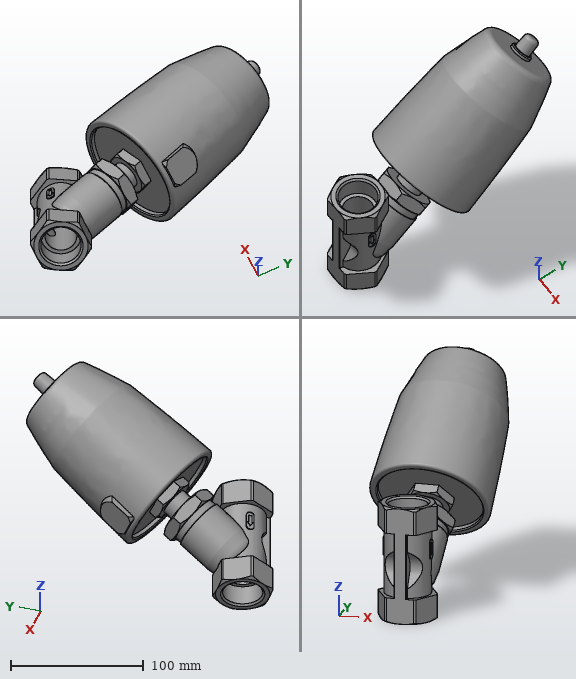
import cadquery as cq
import math

pipe_height = 90.4
pipe_diameter = 36
hex_flats = 41.0
hex_height = 19.9
hex_corner_diameter = 46.2
bevel_angle = math.radians(30)
bore_diameter = 24.0
thread_diameter = 30.3
thread_depth = 17
thread_bevel = 1.5

web_thickness = 9.7
web_bevel = 0.5
web_front = hex_flats / 2
pocket_tip_radius = 11.7
pocket_tip_y = -10.5
pocket_centre_z = 43.0
pocket_upper_angle = math.radians(38)
pocket_lower_angle = math.radians(29)
pocket_wall = 1.9

pad_width = 6.0
pad_height = 15.5
pad_centre_z = 55
pad_rise = 0.8
arrow_shaft_width = 2.5
arrow_top = 4.7
arrow_shoulder = -1.3
arrow_tip = -4.5
arrow_head_width = 4.5
arrow_depth = 0.4

branch_angle = math.radians(40)
branch_origin_z = 27.3

branch_top = 45.1
branch_diameter = 41.0
branch_waist = 17
dome_start = 9.9
dome_radius = 19.5
dome_round = 9.5
collar_diameter = 39.0

nut_bottom = 50.6
nut_top = 61.0
nut_flats = 41.0
stem_diameter = 22.0
small_nut_bottom = 71.3
small_nut_flats = 32.0

housing_bottom = 75.0
housing_diameter = 93.8
housing_radius = housing_diameter / 2
rim_round = 1.9
shoulder_height = 155.8
shoulder_radius = 42.6
side_bulge = 0.47
shoulder_round = 5.7
housing_top = 196.0
top_radius = 31.0
top_round = 5.1
recess_diameter = 81.7
recess_depth = 4.0
recess_bevel = 1.0

flange_diameter = 18.2
flange_height = 3.0
flange_bevel = 1.0
pin_base_radius = 7.0
pin_top_radius = 6.3
pin_top = 211.9
pin_round = 3.0

port_face = 48.9
port_centre = 90.8
port_radius = 14.2
port_end = 78.5
port_half_width = 11.7
port_draft = math.radians(31)
port_depth = 9.5

inclined = cq.Plane(
    origin=(0, 0, branch_origin_z),
    xDir=(1, 0, 0),
    normal=(0, math.cos(branch_angle), math.sin(branch_angle)),
)


def on_inclined_axis(solid):
    return cq.Workplane(solid.val().moved(cq.Location(inclined)))


def turn(half_outline):
    """Turn a half outline, drawn beside the local Z axis, into a solid of revolution."""
    return half_outline.close().revolve(360, (0, 0, 0), (0, 1, 0))


def cylinder(diameter, bottom, top):
    return cq.Workplane("XY").workplane(offset=bottom).circle(diameter / 2).extrude(top - bottom)


def bevelled_hex(flats, bottom, top, corner_diameter, bevel_bottom, bevel_top):
    """Hexagon with corners on X, turned to corner_diameter and bevelled down to its flats."""
    flat_radius = flats / 2
    corner_radius = corner_diameter / 2
    bevel = (corner_radius - flat_radius) * math.tan(bevel_angle)
    prism = (
        cq.Workplane("XY").workplane(offset=bottom)
        .polygon(6, flats / math.cos(math.pi / 6)).extrude(top - bottom)
    )
    outline = cq.Workplane("XZ").moveTo(0, bottom)
    if bevel_bottom:
        outline = outline.lineTo(flat_radius, bottom).lineTo(corner_radius, bottom + bevel)
    else:
        outline = outline.lineTo(corner_radius, bottom)
    if bevel_top:
        outline = outline.lineTo(corner_radius, top - bevel).lineTo(flat_radius, top)
    else:
        outline = outline.lineTo(corner_radius, top)
    return prism.intersect(turn(outline.lineTo(0, top)))


def pocket(offset):
    """Rounded V running along X, its surface moved into the pipe by offset."""
    radius = pocket_tip_radius + offset
    centre_y = pocket_tip_y - pocket_tip_radius
    mouth_y = centre_y - pocket_tip_radius

    def tangent_and_mouth(angle, side):
        tangent_y = centre_y + radius * math.cos(angle)
        tangent_z = pocket_centre_z + side * radius * math.sin(angle)
        mouth_z = tangent_z + side * (tangent_y - mouth_y) / math.tan(angle)
        return (tangent_y, tangent_z), (mouth_y, mouth_z)

    upper_tangent, upper_mouth = tangent_and_mouth(pocket_upper_angle, 1)
    lower_tangent, lower_mouth = tangent_and_mouth(pocket_lower_angle, -1)
    return (
        cq.Workplane("YZ")
        .moveTo(*upper_mouth).lineTo(*upper_tangent)
        .threePointArc((centre_y + radius, pocket_centre_z), lower_tangent)
        .lineTo(*lower_mouth).close()
        .extrude(pipe_diameter / 2, both=True)
    )


def thread_end():
    """Threaded counterbore with a bevelled mouth, opening downward at Z = 0."""
    radius = thread_diameter / 2
    return turn(
        cq.Workplane("XZ").lineTo(radius + thread_bevel, 0).lineTo(radius, thread_bevel)
        .lineTo(radius, thread_depth).lineTo(0, thread_depth)
    )


def flow_pad(side):
    """Raised oval with a sunken downward arrow; side is +1 or -1 along X."""
    face = side * (pipe_diameter / 2 + pad_rise)
    plane = cq.Workplane("YZ", origin=(face, 0, pad_centre_z))
    inward = -side * pipe_diameter / 4
    oval = plane.slot2D(pad_height, pad_width, 90).extrude(inward)
    arrow = (
        plane.moveTo(-arrow_shaft_width / 2, arrow_top).lineTo(arrow_shaft_width / 2, arrow_top)
        .lineTo(arrow_shaft_width / 2, arrow_shoulder).lineTo(arrow_head_width / 2, arrow_shoulder)
        .lineTo(0, arrow_tip).lineTo(-arrow_head_width / 2, arrow_shoulder)
        .lineTo(-arrow_shaft_width / 2, arrow_shoulder).close()
        .extrude(-side * arrow_depth)
    )
    return oval.cut(arrow)


def branch():
    return turn(
        cq.Workplane("XZ").moveTo(0, branch_top).lineTo(branch_diameter / 2, branch_top)
        .lineTo(branch_diameter / 2, branch_waist).lineTo(dome_radius, dome_start)
        .radiusArc((dome_radius - dome_round, dome_start - dome_round), dome_round)
        .lineTo(0, dome_start - dome_round)
    )


def pipe_body():
    corner = hex_corner_diameter
    body = cylinder(pipe_diameter, 0, pipe_height).cut(pocket(0))
    web = cq.Workplane("XY").box(
        web_thickness, web_front, pipe_height - 2 * hex_height, centered=(True, False, False)
    ).translate((0, -web_front, hex_height))
    web = web.edges("|Z and <Y").chamfer(web_bevel)
    body = body.union(web)
    body = body.union(bevelled_hex(hex_flats, 0, hex_height, corner, True, False))
    body = body.union(
        bevelled_hex(hex_flats, pipe_height - hex_height, pipe_height, corner, False, True)
    )
    for side in (-1, 1):
        body = body.union(flow_pad(side))
    return body.union(on_inclined_axis(branch()))


def pipe_passage():
    """Through bore, narrowed by the pocket's wall, with a threaded counterbore at each end."""
    passage = cylinder(bore_diameter, 0, pipe_height).cut(pocket(pocket_wall))
    upper_thread = thread_end().mirror("XY").translate((0, 0, pipe_height))
    return passage.union(thread_end()).union(upper_thread)


def nuts_and_stem():
    corner = nut_flats / math.cos(math.pi / 6)
    small_corner = small_nut_flats / math.cos(math.pi / 6)
    nut = bevelled_hex(nut_flats, nut_bottom, nut_top, corner, True, True)
    small_nut = bevelled_hex(
        small_nut_flats, small_nut_bottom, housing_bottom + recess_depth, small_corner, True, False
    )
    collar = cylinder(collar_diameter, branch_top, nut_bottom)
    stem = cylinder(stem_diameter, nut_top, small_nut_bottom)
    return collar.union(nut).union(stem).union(small_nut)


def housing():
    shell = turn(
        cq.Workplane("XZ").moveTo(0, housing_bottom)
        .lineTo(housing_radius - rim_round, housing_bottom)
        .radiusArc((housing_radius, housing_bottom + rim_round), -rim_round)
        .sagittaArc((shoulder_radius, shoulder_height), -side_bulge)
        .sagittaArc((top_radius, housing_top), -side_bulge).lineTo(0, housing_top)
    )
    shell = shell.faces(">Z").edges().fillet(top_round)
    shoulder = cq.selectors.NearestToPointSelector((0, 0, shoulder_height))
    shell = shell.edges(shoulder).fillet(shoulder_round)
    recess = cylinder(recess_diameter, housing_bottom, housing_bottom + recess_depth)
    mouth = cq.Workplane(cq.Solid.makeCone(
        recess_diameter / 2 + recess_bevel, recess_diameter / 2, recess_bevel,
        cq.Vector(0, 0, housing_bottom), cq.Vector(0, 0, 1)
    ))
    recess = recess.union(mouth)
    return shell.union(port_boss()).cut(recess)


def port_boss():
    """Conical boss along local Y, trimmed to parallel flanks and to a flat end near the rim."""
    base = port_face - port_depth
    base_radius = port_radius + port_depth * math.tan(port_draft)
    cone = cq.Workplane(cq.Solid.makeCone(
        base_radius, port_radius, port_depth, cq.Vector(0, base, port_centre), cq.Vector(0, 1, 0)
    ))
    trim = cq.Workplane("XY").box(
        2 * port_half_width, port_face, 2 * base_radius + port_centre - port_end,
        centered=(True, False, False),
    ).translate((0, 0, port_end))
    return cone.intersect(trim)


def indicator_pin():
    flange_top = housing_top + flange_height
    flange = cylinder(flange_diameter, housing_top, flange_top)
    flange = flange.faces(">Z").edges().chamfer(flange_bevel)
    pin = turn(
        cq.Workplane("XZ").moveTo(0, housing_top).lineTo(pin_base_radius, housing_top)
        .lineTo(pin_top_radius, pin_top).lineTo(0, pin_top)
    )
    return flange.union(pin.faces(">Z").edges().fillet(pin_round))


actuator = housing().union(nuts_and_stem()).union(indicator_pin())
result = pipe_body().union(on_inclined_axis(actuator)).cut(pipe_passage())